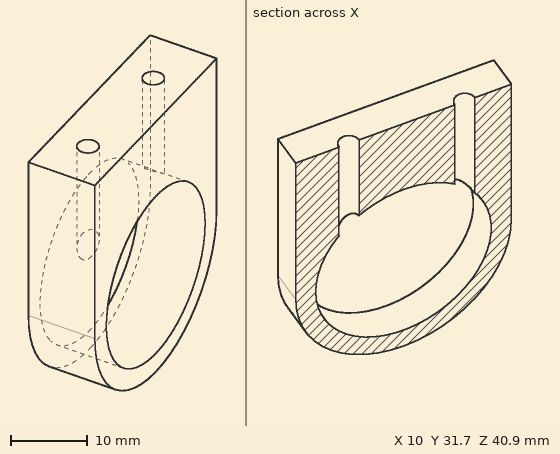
import cadquery as cq

thickness = 10.0
width = 31.7
height = 40.85

outer_radius = width / 2
bore_diameter = 25.7
top_above_axis = height - outer_radius

screw_hole_diameter = 2.9
screw_hole_y_positions = (-9.0, 8.0)


def make_body():
    """Block with a half-round bottom, centred on the bore axis."""
    return (
        cq.Workplane("YZ")
        .moveTo(-outer_radius, 0)
        .lineTo(-outer_radius, top_above_axis)
        .lineTo(outer_radius, top_above_axis)
        .lineTo(outer_radius, 0)
        .threePointArc((0, -outer_radius), (-outer_radius, 0))
        .close()
        .extrude(thickness / 2, both=True)
    )


def make_bore():
    """Cylinder along X that passes through the full thickness."""
    return cq.Workplane("YZ").circle(bore_diameter / 2).extrude(thickness / 2, both=True)


def make_screw_holes():
    """Vertical cylinders from the bore axis level up to the top face, opening into the bore."""
    return (
        cq.Workplane("XY")
        .pushPoints([(0, y) for y in screw_hole_y_positions])
        .circle(screw_hole_diameter / 2)
        .extrude(top_above_axis)
    )


result = make_body().cut(make_bore()).cut(make_screw_holes())